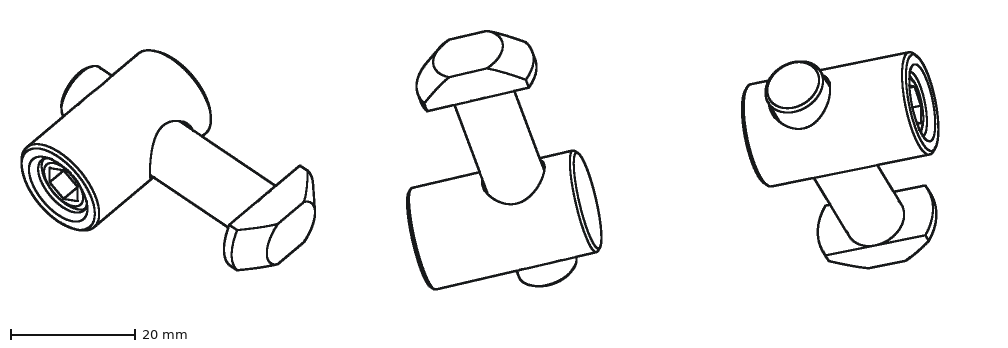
import cadquery as cq
import math

bolt_diameter = 9.85
bolt_start_x = -11.5
bolt_end_x = 34.2
bolt_chamfer = 0.5

head_diameter = 19.7
head_thickness = 5.7
head_rim_thickness = 1.7

barrel_diameter = 16.85
barrel_front_y = -18.0
barrel_back_y = 10.0
barrel_chamfer = 0.5
cross_hole_diameter = 10.5

bore_diameter = 10.55
countersink_diameter = 12.65

screw_recess = 1.3
screw_chamfer_depth = 0.6
screw_face_diameter = 8.45
hex_across_flats = 6.05
hex_depth = 5.0


def cylinder_along_x(diameter, start_x, end_x):
    return cq.Workplane("YZ", origin=(start_x, 0, 0)).circle(diameter / 2).extrude(end_x - start_x)


def cylinder_along_y(diameter, start_y, end_y):
    return cq.Workplane("XZ", origin=(0, start_y, 0)).circle(diameter / 2).extrude(start_y - end_y)


def make_head():
    """Disc with a 45 degree cone, trimmed to the bolt width by two flats."""
    rim_radius = head_diameter / 2
    cone_height = head_thickness - head_rim_thickness
    head_start_x = bolt_end_x - head_thickness
    profile = (
        cq.Workplane("XY")
        .moveTo(head_start_x, 0)
        .lineTo(head_start_x, rim_radius)
        .lineTo(head_start_x + head_rim_thickness, rim_radius)
        .lineTo(bolt_end_x, rim_radius - cone_height)
        .lineTo(bolt_end_x, 0)
        .close()
    )
    disc = profile.revolve(360, (0, 0, 0), (1, 0, 0))
    head_center_x = bolt_end_x - head_thickness / 2
    flats = cq.Workplane("XY", origin=(head_center_x, 0, 0)).box(head_thickness, head_diameter, bolt_diameter)
    return disc.intersect(flats)


def make_bolt():
    """Plain shank with a chamfered free end, in one piece with the T-shaped head."""
    shank = cylinder_along_x(bolt_diameter, bolt_start_x, bolt_end_x - head_thickness)
    shank = shank.faces("<X").chamfer(bolt_chamfer)
    return shank.union(make_head())


def make_barrel():
    """Chamfered cylinder with a cross hole for the bolt and a countersunk bore for the screw."""
    barrel = cylinder_along_y(barrel_diameter, barrel_front_y, barrel_back_y)
    barrel = barrel.faces("<Y or >Y").chamfer(barrel_chamfer)
    cross_hole = cylinder_along_x(cross_hole_diameter, -barrel_diameter, barrel_diameter)
    bore = cylinder_along_y(bore_diameter, barrel_front_y, -bolt_diameter / 2)
    countersink_depth = (countersink_diameter - bore_diameter) / 2
    countersink = (
        cq.Workplane("XZ", origin=(0, barrel_front_y, 0))
        .circle(countersink_diameter / 2)
        .extrude(-countersink_depth, taper=45)
    )
    return barrel.cut(cross_hole).cut(bore).cut(countersink)


def make_set_screw():
    """Headless screw with a chamfered front end and a hexagon socket."""
    screw_front_y = barrel_front_y + screw_recess
    screw = cylinder_along_y(bore_diameter, screw_front_y, -bolt_diameter / 2)
    chamfer_width = (bore_diameter - screw_face_diameter) / 2
    screw = screw.faces("<Y").chamfer(screw_chamfer_depth, chamfer_width)
    hex_across_corners = hex_across_flats / math.cos(math.radians(30))
    socket = (
        cq.Workplane("XZ", origin=(0, screw_front_y, 0))
        .transformed(rotate=(0, 0, 90))
        .polygon(6, hex_across_corners)
        .extrude(-hex_depth)
    )
    return screw.cut(socket)


bolt = make_bolt()
barrel = make_barrel()
set_screw = make_set_screw()

result = cq.Compound.makeCompound([bolt.val(), barrel.val(), set_screw.val()])